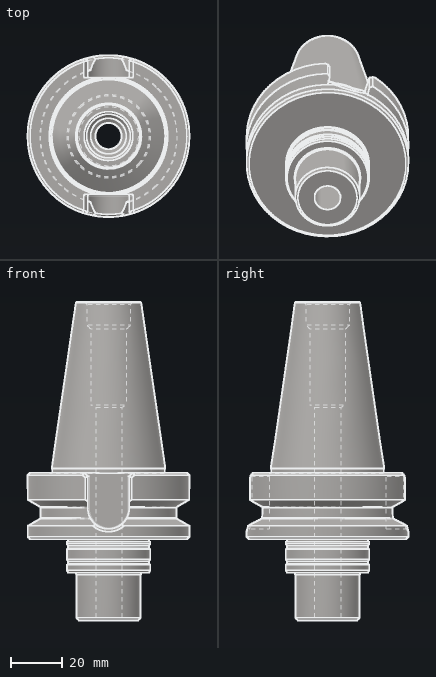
import cadquery as cq
import math


GAUGE_DIAMETER = 44.45
TAPER_RATIO = 7 / 24
TAPER_TOP_Z = 65.4
TAPER_BOTTOM_Z = 0.7
TAPER_TOP_CHAMFER = 0.5

RELIEF_DIAMETER = 43.85
RELIEF_EDGE_Z = TAPER_BOTTOM_Z - (GAUGE_DIAMETER - RELIEF_DIAMETER) / 2
RECESS_TOP_RADIUS = 23.05
RECESS_FLOOR_RADIUS = 22.75
RECESS_DEPTH = 0.35

FLANGE_DIAMETER = 63.0
FLANGE_TOP_Z = -1.0
FLANGE_BOTTOM_Z = -27.0
FLANGE_CHAMFER = 1.0
GROOVE_CENTRE_Z = -16.65
GROOVE_MOUTH_WIDTH = 10.2
GROOVE_FLOOR_RADIUS = 26.5
GROOVE_FLANK_ANGLE = 30.0
GROOVE_FLOOR_FILLET = 0.5

SLOT_WIDTH = 16.1
SLOT_FLOOR_DISTANCE = 22.6
SLOT_BOTTOM_Z = -22.9
SLOT_FLOOR_FILLET = 0.5
SLOT_RIM_CHAMFER = 1.1
SLOT_TOP_CHAMFER = 1.5

COLLAR_DIAMETER = 32.5
COLLAR_BOTTOM_Z = -40.0
COLLAR_CHAMFER_HEIGHT = 1.0
COLLAR_CHAMFER_WIDTH = 0.55
COLLAR_NECK_HEIGHT = 0.85
RING_GROOVE_DEPTH = 0.45
RING_GROOVE_TOPS = (-28.7, -34.75)
RING_GROOVE_WIDTH = 2.1
RING_FLANK_HEIGHT = 0.65
RING_LIP_HEIGHT = 0.35

PILOT_DIAMETER = 25.0
PILOT_BOTTOM_Z = -58.5
PILOT_CHAMFER = 1.0
PILOT_ROOT_WIDTH = 0.35
PILOT_ROOT_HEIGHT = 0.7

COUNTERBORE_DIAMETER = 17.0
COUNTERBORE_DEPTH = 9.0
COUNTERBORE_CHAMFER = 1.0
THREAD_BORE_DIAMETER = 13.84
THREAD_BORE_DEPTH = 40.0
THROUGH_BORE_DIAMETER = 10.11
LEAD_IN_HALF_ANGLE = 45.0
DRILL_POINT_HALF_ANGLE = 60.0

FLANGE_RADIUS = FLANGE_DIAMETER / 2
SLOT_MOUTH_WIDTH = SLOT_WIDTH + 2 * SLOT_TOP_CHAMFER

EDGE_MARGIN = 0.2


def taper_radius(z):
    return (GAUGE_DIAMETER - TAPER_RATIO * z) / 2


def revolve_profile(points):
    """Solid of revolution about Z from a closed list of (radius, z) points."""
    return cq.Workplane("XZ").polyline(points).close().revolve(360, (0, 0, 0), (0, 1, 0))


def taper_shank():
    top_radius = taper_radius(TAPER_TOP_Z)
    relief_radius = RELIEF_DIAMETER / 2
    chamfer_z = TAPER_TOP_Z - TAPER_TOP_CHAMFER
    return revolve_profile([
        (0, TAPER_TOP_Z),
        (top_radius - TAPER_TOP_CHAMFER, TAPER_TOP_Z),
        (taper_radius(chamfer_z), chamfer_z),
        (taper_radius(TAPER_BOTTOM_Z), TAPER_BOTTOM_Z),
        (relief_radius, RELIEF_EDGE_Z),
        (relief_radius, FLANGE_BOTTOM_Z),
        (0, FLANGE_BOTTOM_Z),
    ])


def drive_slot():
    """U-shaped cutter on the +Y side, flared at the flange top, with a rounded floor edge."""
    half_width = SLOT_WIDTH / 2
    centre_z = SLOT_BOTTOM_Z + half_width
    bevel_z = FLANGE_TOP_Z - SLOT_TOP_CHAMFER
    return (
        cq.Workplane("XZ", origin=(0, SLOT_FLOOR_DISTANCE, 0))
        .moveTo(-SLOT_MOUTH_WIDTH / 2, FLANGE_TOP_Z)
        .lineTo(-half_width, bevel_z)
        .lineTo(-half_width, centre_z)
        .threePointArc((0, SLOT_BOTTOM_Z), (half_width, centre_z))
        .lineTo(half_width, bevel_z)
        .lineTo(SLOT_MOUTH_WIDTH / 2, FLANGE_TOP_Z)
        .close()
        .extrude(-FLANGE_RADIUS)
        .faces("<Y")
        .edges("not >Z")
        .fillet(SLOT_FLOOR_FILLET)
    )


def on_both_sides(cutter):
    return cutter.union(cutter.rotate((0, 0, 0), (0, 0, 1), 180))


def slotted_cylinder():
    """Plain flange cylinder with both slots and their bevelled rims."""
    height = FLANGE_TOP_Z - FLANGE_BOTTOM_Z
    cylinder = (
        cq.Workplane("XY", origin=(0, 0, FLANGE_BOTTOM_Z))
        .circle(FLANGE_RADIUS)
        .extrude(height)
    )
    slotted = cylinder.cut(on_both_sides(drive_slot()))
    half_mouth = SLOT_MOUTH_WIDTH / 2
    rim_y = math.sqrt(FLANGE_RADIUS**2 - half_mouth**2)
    for side in (-1, 1):
        near_y, far_y = sorted((side * (rim_y - EDGE_MARGIN), side * (FLANGE_RADIUS + EDGE_MARGIN)))
        rim_box = cq.selectors.BoxSelector(
            (-half_mouth - EDGE_MARGIN, near_y, SLOT_BOTTOM_Z - EDGE_MARGIN),
            (half_mouth + EDGE_MARGIN, far_y, FLANGE_TOP_Z + EDGE_MARGIN),
            boundingbox=True,
        )
        slotted = slotted.edges(rim_box).chamfer(SLOT_RIM_CHAMFER)
    return slotted


def flange_envelope():
    """Flange turning with edge chamfers, gripper groove and top recess."""
    half_mouth = GROOVE_MOUTH_WIDTH / 2
    flank_depth = FLANGE_RADIUS - GROOVE_FLOOR_RADIUS
    half_floor = half_mouth - flank_depth * math.tan(math.radians(GROOVE_FLANK_ANGLE))
    recess_z = FLANGE_TOP_Z - RECESS_DEPTH
    envelope = revolve_profile([
        (0, recess_z),
        (RECESS_FLOOR_RADIUS, recess_z),
        (RECESS_TOP_RADIUS, FLANGE_TOP_Z),
        (FLANGE_RADIUS - FLANGE_CHAMFER, FLANGE_TOP_Z),
        (FLANGE_RADIUS, FLANGE_TOP_Z - FLANGE_CHAMFER),
        (FLANGE_RADIUS, GROOVE_CENTRE_Z + half_mouth),
        (GROOVE_FLOOR_RADIUS, GROOVE_CENTRE_Z + half_floor),
        (GROOVE_FLOOR_RADIUS, GROOVE_CENTRE_Z - half_floor),
        (FLANGE_RADIUS, GROOVE_CENTRE_Z - half_mouth),
        (FLANGE_RADIUS, FLANGE_BOTTOM_Z + FLANGE_CHAMFER),
        (FLANGE_RADIUS - FLANGE_CHAMFER, FLANGE_BOTTOM_Z),
        (0, FLANGE_BOTTOM_Z),
    ])
    floor_box = cq.selectors.BoxSelector(
        (-FLANGE_RADIUS, -FLANGE_RADIUS, GROOVE_CENTRE_Z - half_floor - EDGE_MARGIN),
        (FLANGE_RADIUS, FLANGE_RADIUS, GROOVE_CENTRE_Z + half_floor + EDGE_MARGIN),
        boundingbox=True,
    )
    return envelope.edges(floor_box).fillet(GROOVE_FLOOR_FILLET)


def collar_and_pilot():
    collar_radius = COLLAR_DIAMETER / 2
    floor_radius = collar_radius - RING_GROOVE_DEPTH
    pilot_radius = PILOT_DIAMETER / 2
    neck_z = FLANGE_BOTTOM_Z - COLLAR_NECK_HEIGHT
    points = [
        (0, FLANGE_BOTTOM_Z),
        (floor_radius, FLANGE_BOTTOM_Z),
        (floor_radius, neck_z),
        (collar_radius, neck_z),
    ]
    for top_z in RING_GROOVE_TOPS:
        bottom_z = top_z - RING_GROOVE_WIDTH
        points += [
            (collar_radius, top_z),
            (floor_radius, top_z - RING_FLANK_HEIGHT),
            (floor_radius, bottom_z + RING_LIP_HEIGHT),
            (collar_radius, bottom_z),
        ]
    points += [
        (collar_radius, COLLAR_BOTTOM_Z + COLLAR_CHAMFER_HEIGHT),
        (collar_radius - COLLAR_CHAMFER_WIDTH, COLLAR_BOTTOM_Z),
        (pilot_radius + PILOT_ROOT_WIDTH, COLLAR_BOTTOM_Z),
        (pilot_radius, COLLAR_BOTTOM_Z - PILOT_ROOT_HEIGHT),
        (pilot_radius, PILOT_BOTTOM_Z + PILOT_CHAMFER),
        (pilot_radius - PILOT_CHAMFER, PILOT_BOTTOM_Z),
        (0, PILOT_BOTTOM_Z),
    ]
    return revolve_profile(points)


def stepped_bore():
    counterbore_radius = COUNTERBORE_DIAMETER / 2
    thread_radius = THREAD_BORE_DIAMETER / 2
    through_radius = THROUGH_BORE_DIAMETER / 2
    counterbore_z = TAPER_TOP_Z - COUNTERBORE_DEPTH
    lead_in = (counterbore_radius - thread_radius) / math.tan(math.radians(LEAD_IN_HALF_ANGLE))
    thread_z = TAPER_TOP_Z - THREAD_BORE_DEPTH
    drill_point = (thread_radius - through_radius) / math.tan(math.radians(DRILL_POINT_HALF_ANGLE))
    return revolve_profile([
        (0, TAPER_TOP_Z),
        (counterbore_radius + COUNTERBORE_CHAMFER, TAPER_TOP_Z),
        (counterbore_radius, TAPER_TOP_Z - COUNTERBORE_CHAMFER),
        (counterbore_radius, counterbore_z),
        (thread_radius, counterbore_z - lead_in),
        (thread_radius, thread_z),
        (through_radius, thread_z - drill_point),
        (through_radius, PILOT_BOTTOM_Z),
        (0, PILOT_BOTTOM_Z),
    ])


flange = slotted_cylinder().intersect(flange_envelope())
result = flange.union(taper_shank()).union(collar_and_pilot()).cut(stepped_bore())